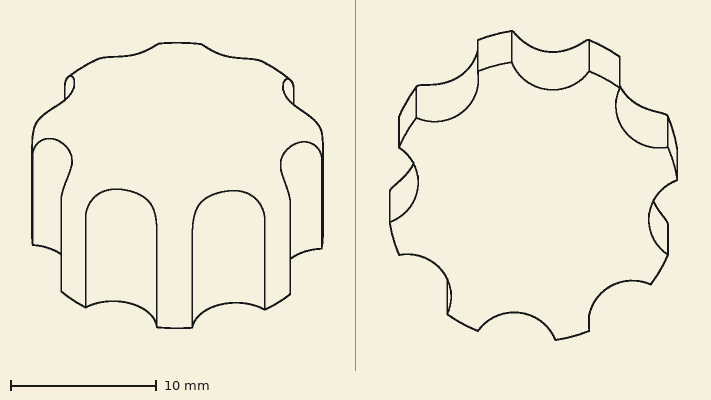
import cadquery as cq
import math

overall_width = 19.27
height = 10.0
top_face_radius = 8.0
flute_radius = 3.0
flute_count = 8

flute_center_radius = top_face_radius + flute_radius

body_radius = math.sqrt(
    overall_width * flute_center_radius + flute_radius**2 - flute_center_radius**2
)
edge_radius = body_radius - top_face_radius


def make_body():
    """Solid cylinder with a rounded upper edge."""
    return cq.Workplane("XY").circle(body_radius).extrude(height).faces(">Z").edges().fillet(edge_radius)


def make_flutes():
    """Ring of vertical cylinders, the first on the +X axis."""
    return (
        cq.Workplane("XY")
        .polarArray(flute_center_radius, 0, 360, flute_count)
        .circle(flute_radius)
        .extrude(height)
    )


result = make_body().cut(make_flutes())